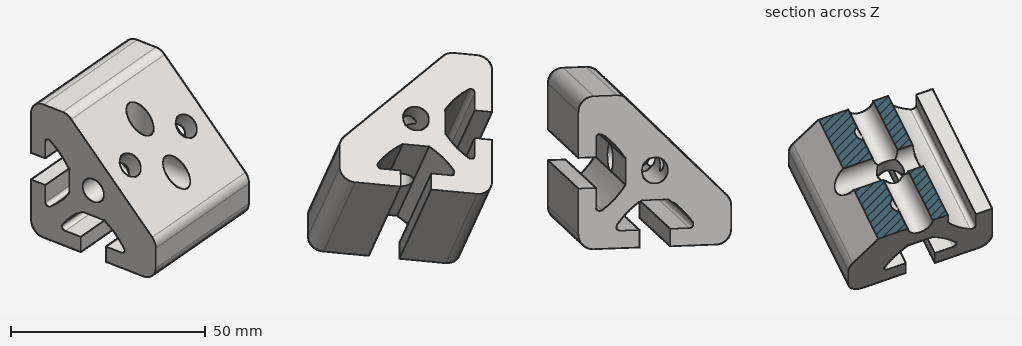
import cadquery as cq
import math

side = 40.0
center = side / 2
corner_radius = 4.0
short_edge = 11.7

mouth_width = 8.0
lip_thickness = 4.6
slot_depth = 12.3
floor_width = 6.9
cavity_width = 21.75
flank_radius = 22.4
cavity_corner_radius = 1.0

bore_diameter = 6.8
cross_hole_diameter = 7.0
slope_hole_diameter = 6.6
slope_hole_spacing = 24.0


def make_body():
    """Square block with one corner cut at 45 degrees and all long edges rounded."""
    outline = [(0, 0), (side, 0), (side, short_edge), (short_edge, side), (0, side)]
    body = cq.Workplane("XZ").polyline(outline).close().extrude(-side)
    return body.edges("|Y").fillet(corner_radius)


def make_bottom_slot():
    """T-slot cutter opening through the bottom face."""
    half_floor = floor_width / 2
    half_cavity = cavity_width / 2
    cavity = (
        cq.Workplane("XZ")
        .moveTo(center - half_cavity, lip_thickness)
        .radiusArc((center - half_floor, slot_depth), flank_radius)
        .lineTo(center + half_floor, slot_depth)
        .radiusArc((center + half_cavity, lip_thickness), flank_radius)
        .close()
        .extrude(-side)
    )
    lip_corners = cavity.faces("<Z").edges("|Y")
    cavity = lip_corners.fillet(cavity_corner_radius)
    mouth = cq.Workplane("XY").box(mouth_width, side, lip_thickness, centered=(True, False, False))
    return cavity.union(mouth.translate((center, 0, 0)))


def make_hole(start, direction, diameter, length):
    """Round hole cutter from a start point along a direction."""
    return cq.Workplane(
        cq.Solid.makeCylinder(diameter / 2, length, cq.Vector(*start), cq.Vector(*direction))
    )


result = make_body()

bottom_slot = make_bottom_slot()
left_slot = bottom_slot.rotate((center, 0, center), (center, 1, center), 90)
result = result.cut(bottom_slot).cut(left_slot)

result = result.cut(make_hole((center, 0, center), (0, 1, 0), bore_diameter, side))
result = result.cut(make_hole((0, center, center), (1, 0, 0), cross_hole_diameter, side))
result = result.cut(make_hole((center, center, 0), (0, 0, 1), cross_hole_diameter, side))

slope_middle = (side + short_edge) / 2
slope_hole_depth = (slope_middle - center) * math.sqrt(2)
for offset in (-slope_hole_spacing / 2, slope_hole_spacing / 2):
    start = (slope_middle, center + offset, slope_middle)
    result = result.cut(make_hole(start, (-1, 0, -1), slope_hole_diameter, slope_hole_depth))